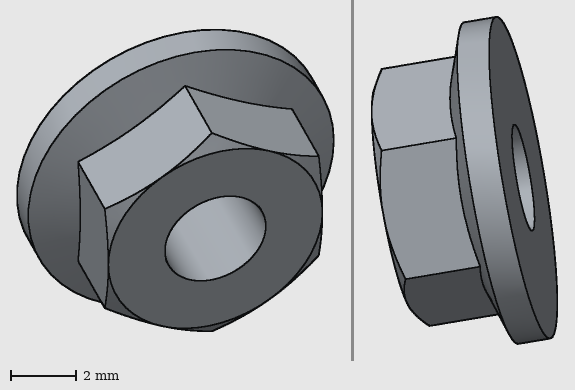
import cadquery as cq
import math

total_height = 4.0
flange_diameter = 10.0
flange_thickness = 1.0
flange_slope_angle = 20.0
across_flats = 7.0
bore_diameter = 3.3
crown_chamfer_angle = 30.0

flange_radius = flange_diameter / 2
flat_radius = across_flats / 2
side_count = 6
side_angle = 2 * math.pi / side_count
corner_radius = flat_radius / math.cos(side_angle / 2)


def revolve_about_x(profile_points):
    """Revolve a closed (x, radius) outline fully around the X axis."""
    outline = cq.Workplane("XY").polyline(profile_points).close()
    return outline.revolve(360, (0, 0, 0), (1, 0, 0))


def make_flange():
    """Flat washer disc topped by a cone that runs in under the hexagon."""
    cone_top_radius = bore_diameter / 2
    cone_rise = (flange_radius - cone_top_radius) * math.tan(math.radians(flange_slope_angle))
    return revolve_about_x([
        (0, 0),
        (0, flange_radius),
        (flange_thickness, flange_radius),
        (flange_thickness + cone_rise, cone_top_radius),
        (flange_thickness + cone_rise, 0),
    ])


def make_hexagon():
    """Hexagonal prism with two corners on the Z axis and a chamfered crown."""
    corners = []
    for index in range(side_count):
        angle = math.pi / 2 + index * side_angle
        corners.append((corner_radius * math.cos(angle), corner_radius * math.sin(angle)))
    prism = cq.Workplane("YZ").polyline(corners).close().extrude(total_height)

    envelope_drop = (flange_radius - flat_radius) * math.tan(math.radians(crown_chamfer_angle))
    crown_envelope = revolve_about_x([
        (0, 0),
        (0, flange_radius),
        (total_height - envelope_drop, flange_radius),
        (total_height, flat_radius),
        (total_height, 0),
    ])
    return prism.intersect(crown_envelope)


def make_bore():
    """Plain hole through the full height of the nut."""
    return cq.Workplane("YZ").circle(bore_diameter / 2).extrude(total_height)


result = make_flange().union(make_hexagon()).cut(make_bore())